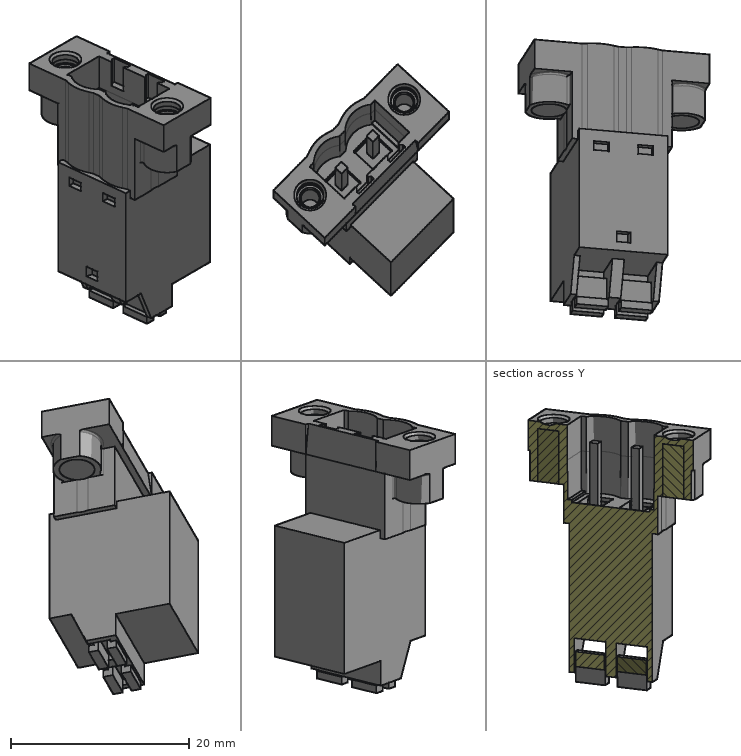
import cadquery as cq
import math

TOTAL_HEIGHT = 29.93
POLE_PITCH = 5.1
POLE_XS = (-POLE_PITCH / 2, POLE_PITCH / 2)

BLOCK_WIDTH = 10.18
BLOCK_FRONT_Y = -4.1
BLOCK_BACK_Y = 10.1
BLOCK_TOP_Z = 19.35
BLOCK_FRONT_BOTTOM_Z = 5.1
BLOCK_BACK_BOTTOM_Z = 3.98

TAIL_BOTTOM_Z = 1.08
TAIL_BACK_Y = 3.7
TAIL_BOTTOM_FRONT_Y = 0.18
TAIL_TOP_FRONT_Y = -1.53

SHROUD_WIDTH = 11.52
SHROUD_FRONT_Y = -3.35
SHROUD_BACK_Y = 3.83
SHROUD_BOTTOM_Z = 18.4

BULGE_HALF_WIDTH = 2.1
BULGE_HEIGHT = 0.45
BULGE_RAMP_WIDTH = 0.57
BULGE_RAMP_HEIGHT = 0.18

FLANGE_WIDTH = 20.17
FLANGE_THICKNESS = 3.5
FLANGE_BACK_Y = 4.6
FLANGE_BOTTOM_Z = TOTAL_HEIGHT - FLANGE_THICKNESS
BACK_SLOPE_RUN = 0.45

BOSS_X = 7.63
BOSS_XS = (-BOSS_X, BOSS_X)
BOSS_RADIUS = 2.7
BOSS_BOTTOM_Z = 22.87
BOSS_FILLET = 0.25

SCREW_HOLE_RADIUS = 1.5
SCREW_HOLE_CHAMFER = 0.3
INSERT_RADIUS = 1.98
INSERT_TOP_Z = TOTAL_HEIGHT - 0.9
INSERT_COUNTERBORE_DEPTH = 0.45
INSERT_BORE_RADIUS = 1.02
INSERT_BORE_CHAMFER = 0.18
INSERT_FLOOR = 0.9

CAVITY_WIDTH = 10.57
CAVITY_FRONT_Y = -2.3
CAVITY_BACK_Y = 3.02
CAVITY_ARC_HALF_CHORD = 2.1
CAVITY_ARC_RISE = 0.78
CAVITY_STRAIGHT_DEPTH = 4.05
CAVITY_DRAFT_ANGLE = 1.0
CAVITY_DEPTH = 8.98
SIDE_LEDGE_WIDTH = 0.57
SIDE_LEDGE_HEIGHT = 0.3

CODING_DEPTH = 3.1
CODING_BACK_Y = 3.85
CODING_TAPER_BACK_Y = 3.47
CODING_TAPER_FRONT_Y = 3.23
CODING_WIDE = 2.4
CODING_NARROW = 1.85

PIN_SIZE = 1.0
PIN_TOP_Z = 27.83
PIN_EMBEDDED = 1.5
POCKET_SIZE = 3.05
POCKET_DEPTH = 0.9
POCKET_LEDGE = 0.1
CAVITY_FLOOR_Z = TOTAL_HEIGHT - CAVITY_DEPTH
POCKET_FLOOR_Z = CAVITY_FLOOR_Z - POCKET_DEPTH
PIN_BOTTOM_Z = POCKET_FLOOR_Z - PIN_EMBEDDED

WINDOW_WIDTH = 1.77
WINDOW_HEIGHT = 1.08
WINDOW_Z = 17.48
WINDOW_DEPTH = 0.72
TEST_WINDOW_WIDTH = 1.65
TEST_WINDOW_BACK_WIDTH = 1.25
TEST_WINDOW_HEIGHT = 1.25
TEST_WINDOW_Z = 6.75
TEST_WINDOW_DEPTH = 0.72

LEVER_WIDTH = 3.6
LEVER_SLOT_WIDTH = 3.75
LEVER_TOP_Z = 3.6
LEVER_FOOT_HEIGHT = 0.9
LEVER_GAP_HEIGHT = 1.8
LEVER_BACK_Y = 2.85
LEVER_FRONT_Y = 0.9
LEVER_FOOT_BACK_Y = 3.55
LEVER_FOOT_FRONT_Y = 0.3
LEVER_GAP_BACK_Y = 2.45
LEVER_GAP_FRONT_Y = 1.45


def box(x_min, x_max, y_min, y_max, z_min, z_max):
    """Axis-aligned box between the given limits."""
    size = (x_max - x_min, y_max - y_min, z_max - z_min)
    return cq.Workplane("XY").box(*size, centered=False).translate((x_min, y_min, z_min))


def centered_box(width, y_min, y_max, z_min, z_max, x=0.0):
    """Box of the given X width, centred on x."""
    return box(x - width / 2, x + width / 2, y_min, y_max, z_min, z_max)


def extrude_side_profile(points, width, x=0.0):
    """Extrude a (Y, Z) outline along X, centred on x."""
    return cq.Workplane("YZ").polyline(points).close().extrude(width / 2, both=True).translate((x, 0, 0))


def vertical_cylinder(x, radius, z_min, z_max):
    return cq.Workplane("XY", origin=(x, 0, z_min)).circle(radius).extrude(z_max - z_min)


def make_block():
    """Terminal block with its tail, extruded from one side outline."""
    outline = [
        (BLOCK_BACK_Y, BLOCK_TOP_Z),
        (BLOCK_BACK_Y, BLOCK_BACK_BOTTOM_Z),
        (TAIL_BACK_Y, BLOCK_BACK_BOTTOM_Z),
        (TAIL_BACK_Y, TAIL_BOTTOM_Z),
        (TAIL_BOTTOM_FRONT_Y, TAIL_BOTTOM_Z),
        (TAIL_TOP_FRONT_Y, BLOCK_FRONT_BOTTOM_Z),
        (BLOCK_FRONT_Y, BLOCK_FRONT_BOTTOM_Z),
        (BLOCK_FRONT_Y, BLOCK_TOP_Z),
    ]
    return extrude_side_profile(outline, BLOCK_WIDTH)


def make_bulge(x):
    """Bulge on the shroud front: a flat ramp on each side and an arc between them."""
    arc_half_width = BULGE_HALF_WIDTH - BULGE_RAMP_WIDTH
    arc_end_y = SHROUD_FRONT_Y - BULGE_RAMP_HEIGHT
    return (
        cq.Workplane("XY", origin=(x, 0, SHROUD_BOTTOM_Z))
        .moveTo(-BULGE_HALF_WIDTH, SHROUD_FRONT_Y)
        .lineTo(-arc_half_width, arc_end_y)
        .threePointArc((0, SHROUD_FRONT_Y - BULGE_HEIGHT), (arc_half_width, arc_end_y))
        .lineTo(BULGE_HALF_WIDTH, SHROUD_FRONT_Y)
        .close()
        .extrude(TOTAL_HEIGHT - SHROUD_BOTTOM_Z)
    )


def make_flanged_shroud():
    """Shroud, flange and bosses, with fillets where a boss meets the flange and the shroud."""
    boss_reach = BOSS_X + BOSS_RADIUS + 2 * BOSS_FILLET
    shroud = centered_box(SHROUD_WIDTH, SHROUD_FRONT_Y, SHROUD_BACK_Y, SHROUD_BOTTOM_Z, TOTAL_HEIGHT)
    flange = centered_box(2 * boss_reach, SHROUD_FRONT_Y, FLANGE_BACK_Y, FLANGE_BOTTOM_Z, TOTAL_HEIGHT)
    body = shroud.union(flange)
    for x in BOSS_XS:
        body = body.union(vertical_cylinder(x, BOSS_RADIUS, BOSS_BOTTOM_Z, FLANGE_BOTTOM_Z))

    near_flange = cq.selectors.BoxSelector(
        (-boss_reach, -BOSS_RADIUS - BOSS_FILLET, FLANGE_BOTTOM_Z - BOSS_FILLET),
        (boss_reach, BOSS_RADIUS + BOSS_FILLET, FLANGE_BOTTOM_Z + BOSS_FILLET),
    )
    joints = body.edges("%CIRCLE").edges(near_flange)
    joint_y = math.sqrt(BOSS_RADIUS**2 - (BOSS_X - SHROUD_WIDTH / 2) ** 2)
    joint_z = (BOSS_BOTTOM_Z + FLANGE_BOTTOM_Z) / 2
    for wall_x in (-SHROUD_WIDTH / 2, SHROUD_WIDTH / 2):
        for y in (-joint_y, joint_y):
            joints = joints.add(body.edges(cq.selectors.NearestToPointSelector((wall_x, y, joint_z))))
    body = cq.Workplane(body.val().fillet(BOSS_FILLET, joints.vals()))

    ear_limits = centered_box(FLANGE_WIDTH, SHROUD_FRONT_Y, FLANGE_BACK_Y, SHROUD_BOTTOM_Z, TOTAL_HEIGHT)
    return body.intersect(ear_limits)


def make_back_slope():
    """Wedge cut from the back of the flange, between the ears."""
    outline = [
        (FLANGE_BACK_Y, FLANGE_BOTTOM_Z),
        (FLANGE_BACK_Y, TOTAL_HEIGHT),
        (FLANGE_BACK_Y - BACK_SLOPE_RUN, TOTAL_HEIGHT),
    ]
    return extrude_side_profile(outline, BLOCK_WIDTH)


def draw_cavity_outline(z):
    """Cavity outline at height z: a rectangle with two arcs in its front."""
    half_width = CAVITY_WIDTH / 2
    outline = cq.Workplane("XY", origin=(0, 0, z))
    outline = outline.moveTo(-half_width, CAVITY_BACK_Y).lineTo(-half_width, CAVITY_FRONT_Y)
    for x in POLE_XS:
        outline = outline.lineTo(x - CAVITY_ARC_HALF_CHORD, CAVITY_FRONT_Y).threePointArc(
            (x, CAVITY_FRONT_Y - CAVITY_ARC_RISE), (x + CAVITY_ARC_HALF_CHORD, CAVITY_FRONT_Y)
        )
    return outline.lineTo(half_width, CAVITY_FRONT_Y).lineTo(half_width, CAVITY_BACK_Y).close()


def make_cavity():
    """Straight upper part, drafted lower part, and a low ledge along each side of the floor."""
    draft_top_z = TOTAL_HEIGHT - CAVITY_STRAIGHT_DEPTH
    upper = draw_cavity_outline(draft_top_z).extrude(CAVITY_STRAIGHT_DEPTH)
    lower = draw_cavity_outline(draft_top_z).extrude(CAVITY_FLOOR_Z - draft_top_z, taper=CAVITY_DRAFT_ANGLE)
    cavity = upper.union(lower)
    ledge_z = CAVITY_FLOOR_Z + SIDE_LEDGE_HEIGHT
    for side in (-1, 1):
        ledge_x = side * (CAVITY_WIDTH - SIDE_LEDGE_WIDTH) / 2
        ledge = centered_box(SIDE_LEDGE_WIDTH, CAVITY_FRONT_Y, CAVITY_BACK_Y, CAVITY_FLOOR_Z, ledge_z, ledge_x)
        cavity = cavity.cut(ledge)
    return cavity


def make_coding_slot(x):
    half_outline = [
        (CODING_WIDE / 2, CODING_BACK_Y),
        (CODING_WIDE / 2, CODING_TAPER_BACK_Y),
        (CODING_NARROW / 2, CODING_TAPER_FRONT_Y),
        (CODING_NARROW / 2, CAVITY_BACK_Y),
    ]
    mirrored = [(-dx, y) for dx, y in reversed(half_outline)]
    return (
        cq.Workplane("XY", origin=(x, 0, TOTAL_HEIGHT - CODING_DEPTH))
        .polyline(half_outline + mirrored)
        .close()
        .extrude(CODING_DEPTH)
    )


def make_pin_pocket(x):
    """Square pocket around a pin foot, with a narrow ledge halfway down its front."""
    half = POCKET_SIZE / 2
    ledge_z = CAVITY_FLOOR_Z - POCKET_DEPTH / 2
    upper = centered_box(POCKET_SIZE, -half, half, ledge_z, CAVITY_FLOOR_Z, x)
    lower = centered_box(POCKET_SIZE, POCKET_LEDGE - half, half, POCKET_FLOOR_Z, ledge_z, x)
    return upper.union(lower)


def make_screw_hole(x):
    """Screw hole with a conical mouth, above a wider insert seat that is open down to the shroud bottom."""
    hole = vertical_cylinder(x, SCREW_HOLE_RADIUS, INSERT_TOP_Z, TOTAL_HEIGHT)
    seat = vertical_cylinder(x, INSERT_RADIUS, SHROUD_BOTTOM_Z, INSERT_TOP_Z)
    mouth = (
        cq.Workplane("XY", origin=(x, 0, TOTAL_HEIGHT))
        .circle(SCREW_HOLE_RADIUS + SCREW_HOLE_CHAMFER)
        .workplane(offset=-SCREW_HOLE_CHAMFER)
        .circle(SCREW_HOLE_RADIUS)
        .loft()
    )
    return hole.union(seat).union(mouth)


def make_front_window(x):
    back_y = BLOCK_FRONT_Y + WINDOW_DEPTH
    z_min = WINDOW_Z - WINDOW_HEIGHT / 2
    return centered_box(WINDOW_WIDTH, BLOCK_FRONT_Y, back_y, z_min, z_min + WINDOW_HEIGHT, x)


def make_test_window():
    """Window whose sides converge towards its back."""
    back_y = BLOCK_FRONT_Y + TEST_WINDOW_DEPTH
    outline = [
        (-TEST_WINDOW_WIDTH / 2, BLOCK_FRONT_Y),
        (TEST_WINDOW_WIDTH / 2, BLOCK_FRONT_Y),
        (TEST_WINDOW_BACK_WIDTH / 2, back_y),
        (-TEST_WINDOW_BACK_WIDTH / 2, back_y),
    ]
    z_min = TEST_WINDOW_Z - TEST_WINDOW_HEIGHT / 2
    return cq.Workplane("XY", origin=(0, 0, z_min)).polyline(outline).close().extrude(TEST_WINDOW_HEIGHT)


def make_lever_slot(x):
    return centered_box(
        LEVER_SLOT_WIDTH, TAIL_TOP_FRONT_Y, LEVER_BACK_Y, TAIL_BOTTOM_Z, BLOCK_FRONT_BOTTOM_Z, x
    )


def make_housing():
    housing = make_block().union(make_flanged_shroud())
    for x in POLE_XS:
        housing = housing.union(make_bulge(x))
    housing = housing.cut(make_back_slope()).cut(make_cavity()).cut(make_test_window())
    for x in POLE_XS:
        housing = housing.cut(make_coding_slot(x)).cut(make_pin_pocket(x)).cut(make_pin(x))
        housing = housing.cut(make_front_window(x)).cut(make_lever_slot(x))
    for x in BOSS_XS:
        housing = housing.cut(make_screw_hole(x))
    return housing


def make_pin(x):
    return centered_box(PIN_SIZE, -PIN_SIZE / 2, PIN_SIZE / 2, PIN_BOTTOM_Z, PIN_TOP_Z, x)


def make_insert(x):
    """Threaded insert, flush with the boss bottom: a blind bore with a chamfered mouth in a counterbore."""
    bore_top_z = INSERT_TOP_Z - INSERT_COUNTERBORE_DEPTH
    insert = vertical_cylinder(x, INSERT_RADIUS, BOSS_BOTTOM_Z, bore_top_z)
    insert = insert.cut(vertical_cylinder(x, INSERT_BORE_RADIUS, BOSS_BOTTOM_Z + INSERT_FLOOR, bore_top_z))
    insert = insert.faces(">Z").edges(cq.selectors.RadiusNthSelector(0)).chamfer(INSERT_BORE_CHAMFER)
    collar = vertical_cylinder(x, INSERT_RADIUS, bore_top_z, INSERT_TOP_Z)
    counterbore = vertical_cylinder(x, SCREW_HOLE_RADIUS, bore_top_z, INSERT_TOP_Z)
    return insert.union(collar.cut(counterbore))


def make_lever(x):
    """Lever with two outward feet and a gap between them, open at the bottom."""
    outline = [
        (LEVER_BACK_Y, LEVER_TOP_Z),
        (LEVER_BACK_Y, LEVER_FOOT_HEIGHT),
        (LEVER_FOOT_BACK_Y, LEVER_FOOT_HEIGHT),
        (LEVER_FOOT_BACK_Y, 0),
        (LEVER_GAP_BACK_Y, 0),
        (LEVER_GAP_BACK_Y, LEVER_GAP_HEIGHT),
        (LEVER_GAP_FRONT_Y, LEVER_GAP_HEIGHT),
        (LEVER_GAP_FRONT_Y, 0),
        (LEVER_FOOT_FRONT_Y, 0),
        (LEVER_FOOT_FRONT_Y, LEVER_FOOT_HEIGHT),
        (LEVER_FRONT_Y, LEVER_FOOT_HEIGHT),
        (LEVER_FRONT_Y, LEVER_TOP_Z),
    ]
    return extrude_side_profile(outline, LEVER_WIDTH, x)


housing = make_housing()
pins = [make_pin(x).val() for x in POLE_XS]
inserts = [make_insert(x).val() for x in BOSS_XS]
levers = [make_lever(x).val() for x in POLE_XS]

result = cq.Compound.makeCompound([housing.val(), *pins, *inserts, *levers])